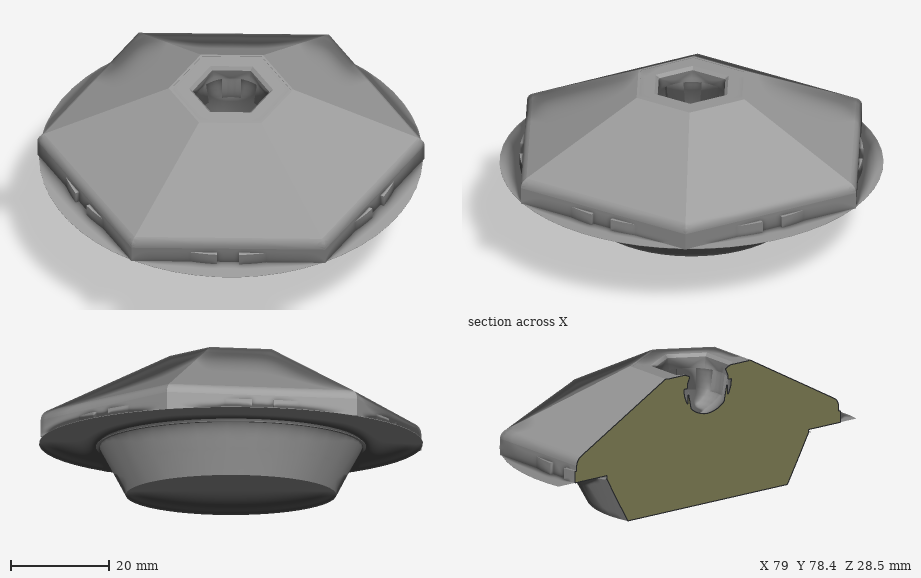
import cadquery as cq
import math

SIDES = 6
HALF_ANGLE = math.radians(180 / SIDES)

CAP_CORNER_RADIUS = 39.5
CAP_HEIGHT = 17.8
EAVES_HEIGHT = 4.8
EAVES_FILLET = 2.2
CROWN_CORNER_RADIUS = 12.7
CROWN_BORDER = 0.5
CROWN_RECESS = 0.1

PLATE_RADIUS = 39.2
PLATE_THICKNESS = 0.1

RING_RADIUS = 35.1
RING_HEIGHT = 2.5
RING_GAP = 4.5

FOOT_TOP_RADIUS = 26.85
FOOT_BOTTOM_RADIUS = 21.5
FOOT_HEIGHT = 10.7
FOOT_BAND_HEIGHT = 0.7
LIP_RADIUS = 27.6
LIP_THICKNESS = 0.1

SOCKET_APOTHEM = 6.8
SOCKET_CHAMFER = 0.6
SOCKET_DEPTH = 3.15
THROAT_RADIUS = 7.35
THROAT_Z = CAP_HEIGHT - SOCKET_DEPTH
BOWL_RADIUS = 8.05
TAB_WIDTH = 3.9
TAB_LEAN = 8.0


def corner_radius(apothem):
    return apothem / math.cos(HALF_ANGLE)


def hexagon(z, radius):
    """Hexagon sketch at height z with two corners on the X axis."""
    return cq.Workplane("XY", origin=(0, 0, z)).polygon(SIDES, 2 * radius)


def hex_frustum(z, bottom_radius, height, top_radius):
    return hexagon(z, bottom_radius).workplane(offset=height).polygon(SIDES, 2 * top_radius).loft(ruled=True)


def disc(z, radius, height):
    return cq.Workplane("XY", origin=(0, 0, z)).circle(radius).extrude(height)


def side_angles():
    """Directions of the middles of the six side walls."""
    return [(i + 0.5) * 360 / SIDES for i in range(SIDES)]


def make_cap():
    walls = hexagon(0, CAP_CORNER_RADIUS).extrude(EAVES_HEIGHT)
    roof = hex_frustum(EAVES_HEIGHT, CAP_CORNER_RADIUS, CAP_HEIGHT - EAVES_HEIGHT, CROWN_CORNER_RADIUS)
    reach = 2 * CAP_CORNER_RADIUS
    eaves = cq.selectors.BoxSelector(
        (-reach, -reach, EAVES_HEIGHT - EAVES_FILLET / 2),
        (reach, reach, EAVES_HEIGHT + EAVES_FILLET / 2),
    )
    cap = walls.union(roof).edges(eaves).fillet(EAVES_FILLET)
    recess_radius = CROWN_CORNER_RADIUS - corner_radius(CROWN_BORDER)
    return cap.cut(hexagon(CAP_HEIGHT - CROWN_RECESS, recess_radius).extrude(CROWN_RECESS))


def make_clip_ring():
    ring = disc(0, RING_RADIUS, RING_HEIGHT)
    for angle in side_angles():
        gap = cq.Workplane("XY").box(RING_RADIUS, RING_GAP, RING_HEIGHT, centered=(False, True, False))
        gap = gap.translate((RING_RADIUS / 2, 0, 0))
        ring = ring.cut(gap.rotate((0, 0, 0), (0, 0, 1), angle))
    return ring


def make_foot():
    profile = [
        (0, 0),
        (FOOT_TOP_RADIUS, 0),
        (FOOT_TOP_RADIUS, -FOOT_BAND_HEIGHT),
        (FOOT_BOTTOM_RADIUS, -FOOT_HEIGHT),
        (0, -FOOT_HEIGHT),
    ]
    foot = cq.Workplane("XZ").polyline(profile).close().revolve(360, (0, 0), (0, 1))
    return foot.union(disc(-FOOT_BAND_HEIGHT, LIP_RADIUS, LIP_THICKNESS))


def make_socket():
    """Chamfered hexagon that blends into a round throat."""
    blend_z = CAP_HEIGHT - CROWN_RECESS - SOCKET_CHAMFER
    socket_radius = corner_radius(SOCKET_APOTHEM)
    mouth_radius = corner_radius(SOCKET_APOTHEM + SOCKET_CHAMFER)
    chamfer = hex_frustum(blend_z, socket_radius, SOCKET_CHAMFER, mouth_radius)
    blend = hexagon(blend_z, socket_radius).workplane(offset=THROAT_Z - blend_z).circle(THROAT_RADIUS)
    return chamfer.union(blend.loft(ruled=True))


def make_tab_strips():
    """Radial strips below the middles of the socket sides, one per tab."""
    strips = cq.Workplane("XY")
    for angle in side_angles():
        strip = cq.Workplane("XY", origin=(0, 0, THROAT_Z - BOWL_RADIUS)).rect(BOWL_RADIUS, TAB_WIDTH)
        strip = strip.extrude(BOWL_RADIUS).translate((BOWL_RADIUS, 0, 0))
        strips = strips.add(strip.rotate((0, 0, 0), (0, 0, 1), angle))
    return strips.combine()


def make_bowl():
    """Half ball below the throat, less the six leaning tabs that hang around it."""
    floor_z = THROAT_Z - BOWL_RADIUS
    ball = cq.Workplane("XY", origin=(0, 0, THROAT_Z)).sphere(BOWL_RADIUS)
    bowl = ball.intersect(disc(floor_z, BOWL_RADIUS, BOWL_RADIUS))
    floor_radius = THROAT_RADIUS - BOWL_RADIUS * math.tan(math.radians(TAB_LEAN))
    tab_cone = (
        cq.Workplane("XY", origin=(0, 0, floor_z)).circle(floor_radius)
        .workplane(offset=BOWL_RADIUS).circle(THROAT_RADIUS).loft()
    )
    return bowl.cut(make_tab_strips().cut(tab_cone))


plate = disc(0, PLATE_RADIUS, PLATE_THICKNESS)
body = make_cap().union(make_clip_ring()).union(plate).union(make_foot())
result = body.cut(make_socket()).cut(make_bowl())